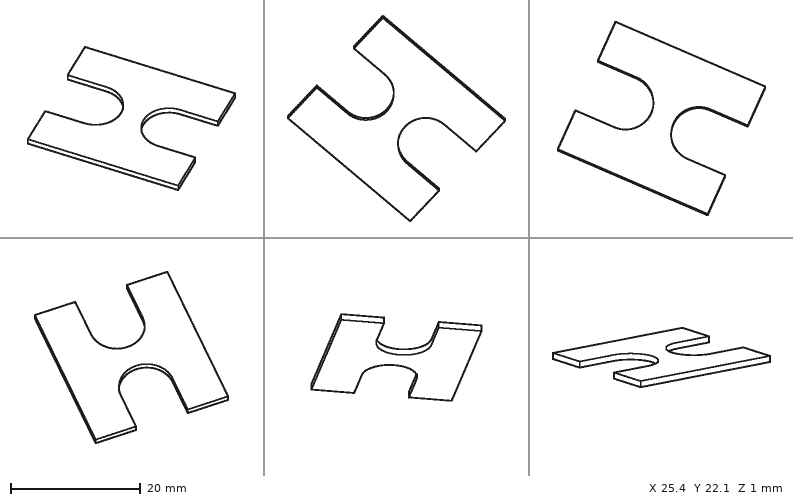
import cadquery as cq

length = 25.4
width = 22.1
thickness = 1.0

slot_width = 8.6
web_width = 3.8
web_center_x = 0.13
slot_radius = slot_width / 2


def end_slot(side):
    """Slot cutter open toward +X (side = 1) or -X (side = -1)."""
    open_x = side * length / 2
    tip_x = web_center_x + side * web_width / 2
    arc_x = tip_x + side * slot_radius
    return (
        cq.Workplane("XY")
        .moveTo(open_x, slot_radius)
        .lineTo(arc_x, slot_radius)
        .threePointArc((tip_x, 0), (arc_x, -slot_radius))
        .lineTo(open_x, -slot_radius)
        .close()
        .extrude(thickness)
    )


result = cq.Workplane("XY").box(length, width, thickness, centered=(True, True, False))
for side in (-1, 1):
    result = result.cut(end_slot(side))